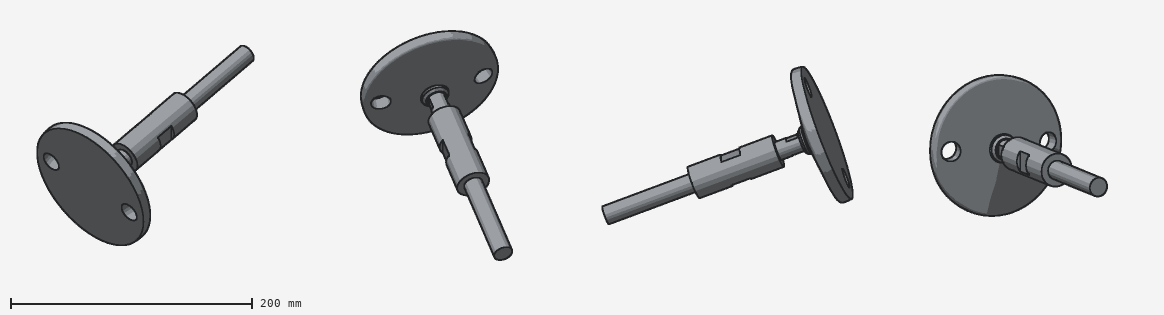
import cadquery as cq
import math

overall_length = 197.0

foot_diameter = 118.0
base_diameter = 117.0
rim_start = 4.1
foot_height = 17.1
seat_radius = 12.6
cone_angle = 9.5
shoulder_fillet = 2.8
selection_margin = 0.2

mount_hole_diameter = 16.5
mount_hole_offset = 42.7

rod_diameter = 16.0
collar_foot_radius = 11.0
collar_max_radius = 12.2
collar_edge_radius = 11.6
collar_top_radius = 9.0
collar_max_level = 18.3
collar_edge_level = 20.3
collar_top_level = 22.5
sleeve_diameter = 28.0
sleeve_start = 43.5
sleeve_end = 118.5

sleeve_flat_width = 22.0
sleeve_flat_length = 17.0
sleeve_flat_start = (sleeve_start + sleeve_end - sleeve_flat_length) / 2
rod_flat_width = 13.0
rod_flat_length = 9.8
rod_flat_start = 23.6


def revolve_about_y(profile):
    """Turn a closed half profile, drawn in XY, around the Y axis."""
    return profile.close().revolve(360, (0, 0, 0), (0, 1, 0))


def mounting_hole(side):
    """Cutter through the plate, leaning outward from the underside; side is -1 or +1."""
    lean = math.radians(cone_angle)
    direction = cq.Vector(side * math.sin(lean), math.cos(lean), 0)
    center = cq.Vector(side * mount_hole_offset, 0, 0)
    start = center - direction * foot_height
    length = 3 * foot_height
    return cq.Workplane(
        cq.Solid.makeCylinder(mount_hole_diameter / 2, length, start, direction)
    )


def make_foot():
    rim_radius = foot_diameter / 2
    cone_drop = (rim_radius - seat_radius) * math.tan(math.radians(cone_angle))
    shoulder_level = foot_height - cone_drop
    foot = revolve_about_y(
        cq.Workplane("XY")
        .lineTo(base_diameter / 2, 0)
        .lineTo(rim_radius, rim_start)
        .lineTo(rim_radius, shoulder_level)
        .lineTo(seat_radius, foot_height)
        .lineTo(0, foot_height)
    )
    shoulder = cq.selectors.BoxSelector(
        (-foot_diameter, shoulder_level - selection_margin, -foot_diameter),
        (foot_diameter, shoulder_level + selection_margin, foot_diameter),
    )
    foot = foot.edges(shoulder).fillet(shoulder_fillet)
    for side in (-1, 1):
        foot = foot.cut(mounting_hole(side))
    return foot


def cut_flats(body, width, start, length):
    """Cut a pair of parallel flats, width apart, into a round stretch of the spindle."""
    for side in (-1, 1):
        cutter = cq.Workplane("XY").box(
            sleeve_diameter, length, sleeve_diameter, centered=(True, False, True)
        )
        body = body.cut(cutter.translate((side * (width + sleeve_diameter) / 2, start, 0)))
    return body


def make_spindle():
    rod_radius = rod_diameter / 2
    sleeve_radius = sleeve_diameter / 2
    spindle = revolve_about_y(
        cq.Workplane("XY")
        .moveTo(0, foot_height)
        .lineTo(collar_foot_radius, foot_height)
        .lineTo(collar_max_radius, collar_max_level)
        .lineTo(collar_edge_radius, collar_edge_level)
        .lineTo(collar_top_radius, collar_top_level)
        .lineTo(rod_radius, collar_top_level)
        .lineTo(rod_radius, sleeve_start)
        .lineTo(sleeve_radius, sleeve_start)
        .lineTo(sleeve_radius, sleeve_end)
        .lineTo(rod_radius, sleeve_end)
        .lineTo(rod_radius, overall_length)
        .lineTo(0, overall_length)
    )
    spindle = cut_flats(spindle, sleeve_flat_width, sleeve_flat_start, sleeve_flat_length)
    return cut_flats(spindle, rod_flat_width, rod_flat_start, rod_flat_length)


foot = make_foot()
spindle = make_spindle()

result = cq.Compound.makeCompound([foot.val(), spindle.val()])